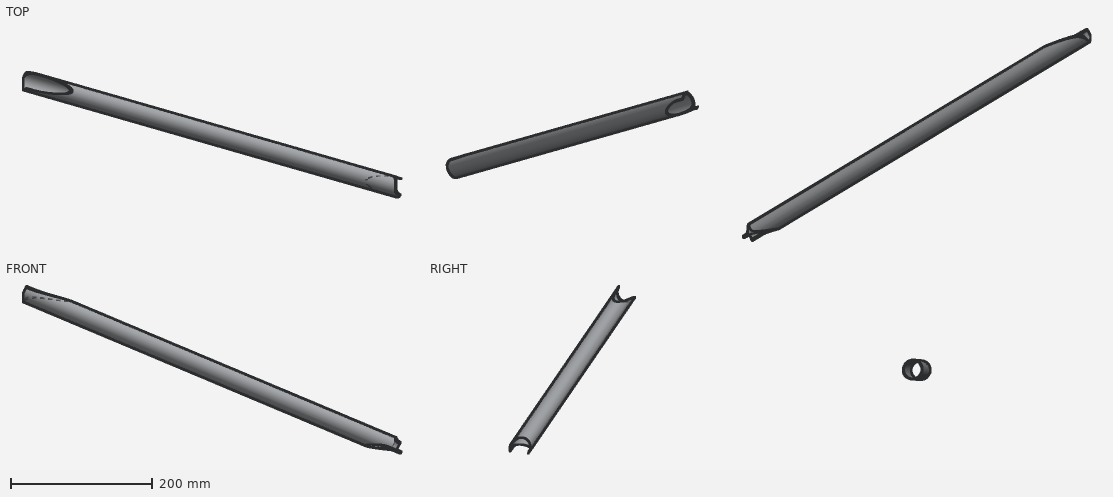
import cadquery as cq

tube_direction = cq.Vector(1, -0.287, -0.42).normalized()
tube_center = cq.Vector(0, 1.3, -2.4)
inner_radius = 13.0
wall = 1.2
outer_radius = inner_radius + wall

upper_half_length = 295.0
upper_saddle_distance = 301.5
upper_saddle_offset = 1.7
upper_saddle_radius = 13.5
upper_saddle_direction = cq.Vector(1, -0.206, -0.023)
upper_face_x = -267.5

lower_half_length = 297.0
lower_saddle_distance = 288.0
lower_saddle_offset = -1.0
lower_saddle_radius = 13.0
lower_saddle_direction = cq.Vector(1, -0.067, 0.25)

cutter_length = 428.0
cutter_reach = 107.0


def make_tube():
    """Hollow round bar between the two outermost tips."""
    start = tube_center - tube_direction * upper_half_length
    length = upper_half_length + lower_half_length
    profile = cq.Workplane(cq.Plane(start, normal=tube_direction))
    return profile.circle(outer_radius).circle(inner_radius).extrude(length)


def make_saddle_cutter(outward, distance, offset, radius, saddle_direction):
    """Round bar along the crossing tube, extended outward past the end of the main tube."""
    axis = saddle_direction.normalized()
    away = (outward - axis * outward.dot(axis)).normalized()
    sideways = outward.cross(axis).normalized()
    axis_point = tube_center + outward * distance + sideways * offset
    plane = cq.Plane(axis_point, xDir=away, normal=axis)
    bar = cq.Workplane(plane).circle(radius).extrude(cutter_length / 2, both=True)
    slab = (
        cq.Workplane(plane)
        .center(cutter_reach / 2, 0)
        .rect(cutter_reach, 2 * radius)
        .extrude(cutter_length / 2, both=True)
    )
    return bar.union(slab)


upper_cutter = make_saddle_cutter(
    -tube_direction,
    upper_saddle_distance,
    upper_saddle_offset,
    upper_saddle_radius,
    upper_saddle_direction,
)
lower_cutter = make_saddle_cutter(
    tube_direction,
    lower_saddle_distance,
    lower_saddle_offset,
    lower_saddle_radius,
    lower_saddle_direction,
)

upper_trim = (
    cq.Workplane("YZ", origin=(upper_face_x, 0, 0))
    .rect(cutter_length, cutter_length)
    .extrude(-cutter_reach)
)

result = make_tube().cut(upper_cutter).cut(lower_cutter).cut(upper_trim)